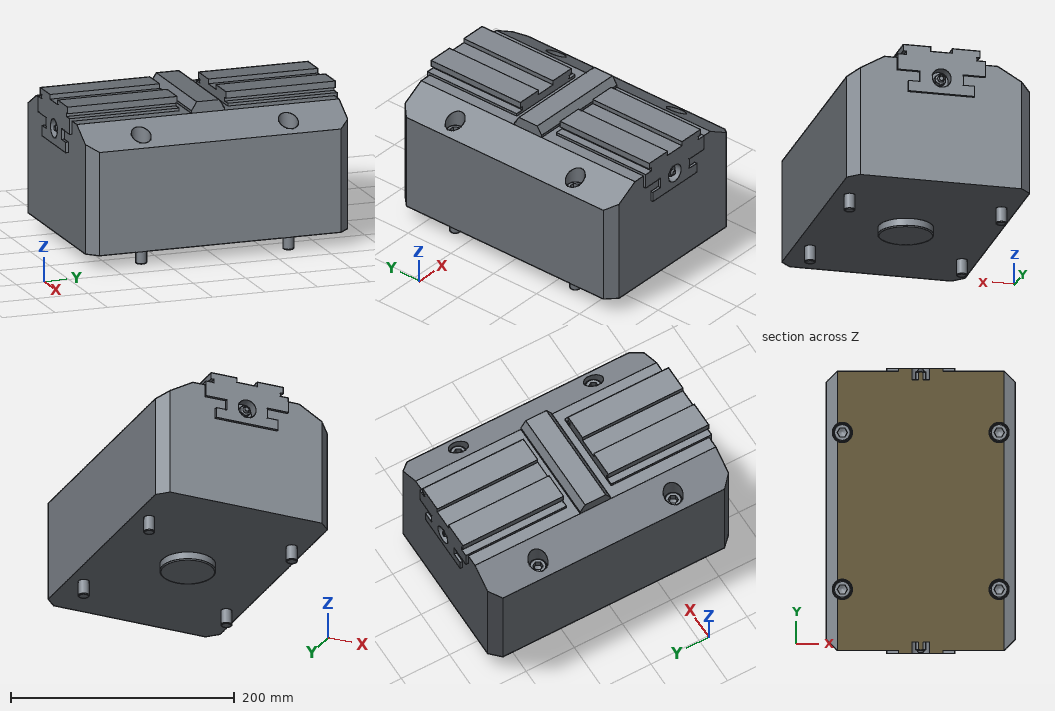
import cadquery as cq
import math

BODY_WIDTH = 169.0
BODY_LENGTH = 250.0
BODY_HEIGHT = 114.5
BODY_TOP_WIDTH = 104.5
SHOULDER_ANGLE = 30.0
CORNER_CHAMFER = 10.0

OVERALL_LENGTH = 255.0
JAW_GAP = 46.5
JAW_RISE = 12.0
JAW_TOP = BODY_HEIGHT + JAW_RISE
JAW_HEAD_WIDTH = 71.0
JAW_GROOVE_WIDTH = 20.0
JAW_GROOVE_DEPTH = 4.3
JAW_RECESS_WIDTH = 65.0
JAW_FLANGE_WIDTH = 81.0
JAW_NECK_WIDTH = 40.0
JAW_FOOT_WIDTH = 61.0
HEAD_DEPTH = 6.0
RECESS_DEPTH = 9.5
FLANGE_DEPTH = 24.0
NECK_DEPTH = 34.0
FOOT_DEPTH = 43.5

SPINDLE_DEPTH_BELOW_TOP = 28.8
SPINDLE_HOLE_DIAMETER = 17.3
SPINDLE_HOLE_DEPTH = 10.2
SPINDLE_HEX_FLATS = 9.2
SPINDLE_BAR_DIAMETER = 10.2
SPINDLE_TIP_SETBACK = 0.8
SPINDLE_TIP_DIAMETER = 4.0
SPINDLE_TIP_LENGTH = 1.8
SPINDLE_SHOULDER_DIAMETER = 6.0
SPINDLE_SHOULDER_LENGTH = 1.3

RIB_TOP_LENGTH = 21.5
RIB_BASE_LENGTH = 31.5
RIB_HEIGHT = 10.2
RIB_BASE_HEIGHT = 2.3
RIB_TOP = BODY_HEIGHT + RIB_HEIGHT
RIB_BASE_TOP = BODY_HEIGHT + RIB_BASE_HEIGHT

SCREW_OFFSET = 70.0
SCREW_HOLE_DIAMETER = 17.8
SCREW_HEAD_DIAMETER = 16.0
SCREW_HEAD_TOP = 94.9
SCREW_HEAD_HEIGHT = 10.0
SCREW_HEAD_BOTTOM = SCREW_HEAD_TOP - SCREW_HEAD_HEIGHT
SCREW_HEAD_CHAMFER = 1.0
SOCKET_FLATS = 8.0
SOCKET_DEPTH = 5.0
SOCKET_POINT_DEPTH = 2.8
PIN_DIAMETER = 10.0
PIN_LENGTH = 14.5
PIN_CHAMFER = 0.8

BOSS_DIAMETER = 50.0
BOSS_HEIGHT = 7.6
BOSS_CHAMFER = 1.0

HEX_HALF_ANGLE = 30.0


def hex_across_corners(flats):
    return flats / math.cos(math.radians(HEX_HALF_ANGLE))


def make_body():
    half_width = BODY_WIDTH / 2
    half_top = BODY_TOP_WIDTH / 2
    slope_drop = (half_width - half_top) * math.tan(math.radians(SHOULDER_ANGLE))
    shoulder_z = BODY_HEIGHT - slope_drop
    profile = (
        cq.Workplane("XZ")
        .polyline([
            (-half_width, 0),
            (half_width, 0),
            (half_width, shoulder_z),
            (half_top, BODY_HEIGHT),
            (-half_top, BODY_HEIGHT),
            (-half_width, shoulder_z),
        ])
        .close()
        .extrude(BODY_LENGTH / 2, both=True)
    )
    footprint = (
        cq.Workplane("XY")
        .rect(BODY_WIDTH, BODY_LENGTH)
        .extrude(BODY_HEIGHT)
        .edges("|Z")
        .chamfer(CORNER_CHAMFER)
    )
    return profile.intersect(footprint)


def make_front_jaw():
    right_side = [
        (JAW_GROOVE_WIDTH / 2, JAW_GROOVE_DEPTH),
        (JAW_GROOVE_WIDTH / 2, 0),
        (JAW_HEAD_WIDTH / 2, 0),
        (JAW_HEAD_WIDTH / 2, HEAD_DEPTH),
        (JAW_RECESS_WIDTH / 2, HEAD_DEPTH),
        (JAW_RECESS_WIDTH / 2, RECESS_DEPTH),
        (JAW_FLANGE_WIDTH / 2, RECESS_DEPTH),
        (JAW_FLANGE_WIDTH / 2, FLANGE_DEPTH),
        (JAW_NECK_WIDTH / 2, FLANGE_DEPTH),
        (JAW_NECK_WIDTH / 2, NECK_DEPTH),
        (JAW_FOOT_WIDTH / 2, NECK_DEPTH),
        (JAW_FOOT_WIDTH / 2, FOOT_DEPTH),
    ]
    left_side = [(-x, depth) for x, depth in reversed(right_side)]
    outline = [(x, JAW_TOP - depth) for x, depth in right_side + left_side]
    return (
        cq.Workplane("XZ", origin=(0, -JAW_GAP / 2, 0))
        .polyline(outline)
        .close()
        .extrude((OVERALL_LENGTH - JAW_GAP) / 2)
    )


def make_front_spindle_hole():
    """Round hole around the spindle, leaving its pointed hexagonal end standing."""
    face = cq.Workplane(
        "XZ", origin=(0, -OVERALL_LENGTH / 2, JAW_TOP - SPINDLE_DEPTH_BELOW_TOP)
    )
    hole = face.circle(SPINDLE_HOLE_DIAMETER / 2).extrude(-SPINDLE_HOLE_DEPTH)

    tip_y = SPINDLE_TIP_SETBACK
    shoulder_y = tip_y + SPINDLE_TIP_LENGTH
    bar_y = shoulder_y + SPINDLE_SHOULDER_LENGTH
    floor_y = SPINDLE_HOLE_DEPTH
    pointed_bar = (
        cq.Workplane("XY", origin=face.plane.origin.toTuple())
        .polyline([
            (0, tip_y),
            (SPINDLE_TIP_DIAMETER / 2, tip_y),
            (SPINDLE_SHOULDER_DIAMETER / 2, shoulder_y),
            (SPINDLE_BAR_DIAMETER / 2, bar_y),
            (SPINDLE_BAR_DIAMETER / 2, floor_y),
            (0, floor_y),
        ])
        .close()
        .revolve(360, (0, 0), (0, 1))
    )
    hexagon = (
        face.transformed(rotate=(0, 0, HEX_HALF_ANGLE))
        .polygon(6, hex_across_corners(SPINDLE_HEX_FLATS))
        .extrude(-SPINDLE_HOLE_DEPTH)
    )
    return hole.cut(pointed_bar.intersect(hexagon))


def make_rib():
    return (
        cq.Workplane("YZ")
        .polyline([
            (-RIB_BASE_LENGTH / 2, BODY_HEIGHT),
            (RIB_BASE_LENGTH / 2, BODY_HEIGHT),
            (RIB_BASE_LENGTH / 2, RIB_BASE_TOP),
            (RIB_TOP_LENGTH / 2, RIB_TOP),
            (-RIB_TOP_LENGTH / 2, RIB_TOP),
            (-RIB_BASE_LENGTH / 2, RIB_BASE_TOP),
        ])
        .close()
        .extrude(BODY_TOP_WIDTH / 2, both=True)
    )


def make_screw():
    """Socket head with its shank running down through the body."""
    head = (
        cq.Workplane("XY", origin=(0, 0, SCREW_HEAD_BOTTOM))
        .circle(SCREW_HEAD_DIAMETER / 2)
        .extrude(SCREW_HEAD_HEIGHT)
        .faces(">Z")
        .chamfer(SCREW_HEAD_CHAMFER)
    )
    shank = (
        cq.Workplane("XY", origin=(0, 0, -PIN_LENGTH))
        .circle(PIN_DIAMETER / 2)
        .extrude(PIN_LENGTH + SCREW_HEAD_BOTTOM)
        .faces("<Z")
        .chamfer(PIN_CHAMFER)
    )
    corner_radius = hex_across_corners(SOCKET_FLATS) / 2
    hexagon = (
        cq.Workplane("XY", origin=(0, 0, SCREW_HEAD_TOP))
        .polygon(6, 2 * corner_radius)
        .extrude(-SOCKET_DEPTH - SOCKET_POINT_DEPTH)
    )
    drill = (
        cq.Workplane("XZ", origin=(0, 0, SCREW_HEAD_TOP))
        .polyline([
            (0, 0),
            (corner_radius, 0),
            (corner_radius, -SOCKET_DEPTH),
            (0, -SOCKET_DEPTH - SOCKET_POINT_DEPTH),
        ])
        .close()
        .revolve(360, (0, 0), (0, 1))
    )
    socket = hexagon.intersect(drill)
    return head.union(shank).cut(socket)


def make_boss():
    return (
        cq.Workplane("XY")
        .circle(BOSS_DIAMETER / 2)
        .extrude(-BOSS_HEIGHT)
        .faces("<Z")
        .chamfer(BOSS_CHAMFER)
    )


result = make_body().union(make_rib()).union(make_boss())

front_jaw = make_front_jaw()
front_hole = make_front_spindle_hole()
for turn in (0, 180):
    result = result.union(front_jaw.rotate((0, 0, 0), (0, 0, 1), turn))
    result = result.cut(front_hole.rotate((0, 0, 0), (0, 0, 1), turn))

screw = make_screw()
head_hole = (
    cq.Workplane("XY", origin=(0, 0, SCREW_HEAD_BOTTOM))
    .circle(SCREW_HOLE_DIAMETER / 2)
    .extrude(BODY_HEIGHT - SCREW_HEAD_BOTTOM)
)
for x in (-SCREW_OFFSET, SCREW_OFFSET):
    for y in (-SCREW_OFFSET, SCREW_OFFSET):
        result = result.cut(head_hole.translate((x, y, 0)))
        result = result.union(screw.translate((x, y, 0)))